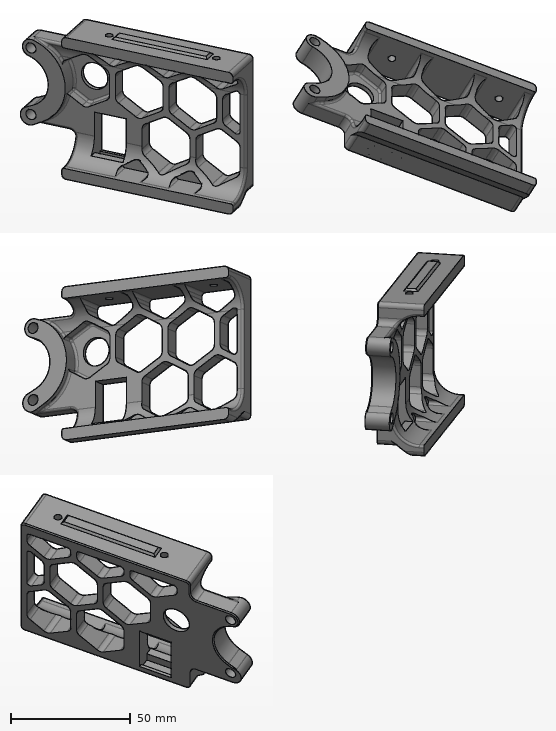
import cadquery as cq
import math


LENGTH = 103.6
DEPTH = 20.0
HEIGHT = 66.0
FRAME_LEFT = 23.9
WEB_THICKNESS = 7.0
FLANGE_THICKNESS = 5.0
COVE_RADIUS = 11.0
CORNER_RADIUS = 2.1
FRONT_EDGE_RADIUS = 1.0
BACK_CHAMFER = 0.5

REAR_STEP_HEIGHT = 4.0
SLOPE_START = 9.0
SLOPE_END = 14.5

CRESCENT_X = 0.9
CRESCENT_Z = 37.1
CRESCENT_INNER_RADIUS = 12.0
CRESCENT_OUTER_RADIUS = 20.0
CRESCENT_DEPTH = 10.5
CRESCENT_FILLET = 1.0
LUG_HOLE_X = 5.0
LUG_HOLE_DIAMETER = 4.7
LOWER_LUG_RADIUS = 4.1
ARM_BOTTOM = 16.6
ARM_CORNER_RADIUS = 3.0

CELL_PITCH = 25.0
CELL_WIDTH = 22.2
CELL_CORNER_RADIUS = 3.0
CELL_CLIP_RADIUS = 1.5
RIGHT_BORDER = 3.0
MAIN_ROW_X = 28.7
MAIN_ROW_Z = 41.0
POCKET_CLIP_RADIUS = 1.0
POCKET_BACK_WALL = 8.4

SEAT_FLOOR = 2.0
SEAT_FILLET = 1.0
SEAT_HOLE_X = 30.5
SEAT_HOLE_Z = 41.3
SEAT_HOLE_DIAMETER = 12.2

WINDOW_LEFT = 32.9
WINDOW_WIDTH = 14.8
WINDOW_TOP = 27.2
SILL_HEIGHT = 8.2
GROOVE_FRONT = 6.6
GROOVE_BOTTOM = 4.6
LIP_THICKNESS = 1.5
LIP_HEIGHT = 6.5

RAIL_X = 66.1
RAIL_LENGTH = 44.2
RAIL_WIDTH = 6.0
RAIL_HEIGHT = 0.9
SCREW_SPACING = 50.0
SCREW_DIAMETER = 3.2

TOLERANCE = 0.01

CEILING = HEIGHT - FLANGE_THICKNESS
COVE_DEPTH = WEB_THICKNESS + COVE_RADIUS
LUG_RADIUS = (CRESCENT_OUTER_RADIUS - CRESCENT_INNER_RADIUS) / 2
LUG_CIRCLE_RADIUS = (CRESCENT_OUTER_RADIUS + CRESCENT_INNER_RADIUS) / 2
LUG_RISE = math.sqrt(LUG_CIRCLE_RADIUS**2 - (LUG_HOLE_X - CRESCENT_X) ** 2)
UPPER_LUG_Z = CRESCENT_Z + LUG_RISE
LOWER_LUG_X = LOWER_LUG_RADIUS
LOWER_LUG_Z = ARM_BOTTOM + LOWER_LUG_RADIUS
ARM_TOP = UPPER_LUG_Z + LUG_RADIUS
ROW_SPACING = CELL_PITCH * math.sqrt(3) / 2
CELL_RIGHT_LIMIT = LENGTH - RIGHT_BORDER


def polar(x, z, radius, angle):
    """Point on a circle in the XZ plane, angle in radians from +X toward +Z."""
    return (x + radius * math.cos(angle), z + radius * math.sin(angle))


def block(x0, x1, y0, y1, z0, z1):
    """Box given by its limits, with y measured forward from the back plane."""
    return cq.Workplane("XY").box(x1 - x0, y1 - y0, z1 - z0, centered=False).translate((x0, -y1, z0))


def frame_section():
    """Cross-section of the frame, extruded along X with a flat underside."""
    cove_mid = COVE_RADIUS * math.sqrt(0.5)
    return (
        cq.Workplane("YZ")
        .moveTo(0, HEIGHT)
        .lineTo(-DEPTH, HEIGHT)
        .lineTo(-DEPTH, CEILING)
        .lineTo(-COVE_DEPTH, CEILING)
        .threePointArc(
            (-COVE_DEPTH + cove_mid, CEILING - COVE_RADIUS + cove_mid),
            (-WEB_THICKNESS, CEILING - COVE_RADIUS),
        )
        .lineTo(-WEB_THICKNESS, FLANGE_THICKNESS + COVE_RADIUS)
        .threePointArc(
            (-COVE_DEPTH + cove_mid, FLANGE_THICKNESS + COVE_RADIUS - cove_mid),
            (-COVE_DEPTH, FLANGE_THICKNESS),
        )
        .lineTo(-DEPTH, FLANGE_THICKNESS)
        .lineTo(-DEPTH, 0)
        .lineTo(0, 0)
        .close()
        .extrude(LENGTH)
    )


def frame_outline(bottom):
    """Prism along Y with the outline of frame and arm, its underside at the given height."""
    outline = (
        cq.Workplane("XZ")
        .moveTo(LOWER_LUG_X, ARM_BOTTOM)
        .lineTo(FRAME_LEFT, ARM_BOTTOM)
        .lineTo(FRAME_LEFT, bottom)
        .lineTo(LENGTH, bottom)
        .lineTo(LENGTH, HEIGHT)
        .lineTo(FRAME_LEFT, HEIGHT)
        .lineTo(FRAME_LEFT, ARM_TOP)
        .lineTo(LUG_HOLE_X, ARM_TOP)
        .lineTo(LUG_HOLE_X, UPPER_LUG_Z)
        .threePointArc((CRESCENT_X + LUG_CIRCLE_RADIUS, CRESCENT_Z), (LOWER_LUG_X, LOWER_LUG_Z))
        .close()
        .extrude(DEPTH)
    )

    def round_corner(prism, x, z, radius):
        corner = cq.selectors.NearestToPointSelector((x, -DEPTH / 2, z))
        return prism.edges("|Y").edges(corner).fillet(radius)

    for z in (ARM_BOTTOM, ARM_TOP):
        outline = round_corner(outline, FRAME_LEFT, z, ARM_CORNER_RADIUS)
    for x in (FRAME_LEFT, LENGTH):
        outline = round_corner(outline, x, HEIGHT, CORNER_RADIUS)
    outline = outline.faces(">Y").edges(">Z").chamfer(BACK_CHAMFER)
    for x in (FRAME_LEFT, LENGTH):
        outline = round_corner(outline, x, bottom, CORNER_RADIUS)
    return outline


def make_frame():
    """Frame and arm; the lower flange reaches below the rear part, with a slope between."""
    slope_top = REAR_STEP_HEIGHT + CORNER_RADIUS
    slope_run = (SLOPE_END - SLOPE_START) * slope_top / REAR_STEP_HEIGHT
    flange_side = (
        cq.Workplane("YZ")
        .moveTo(-DEPTH, 0)
        .lineTo(-SLOPE_END, 0)
        .lineTo(-SLOPE_END + slope_run, slope_top)
        .lineTo(-DEPTH, slope_top)
        .close()
        .extrude(LENGTH)
    )
    rear = frame_outline(REAR_STEP_HEIGHT).intersect(frame_section())
    flange = frame_outline(0).intersect(frame_section()).intersect(flange_side)
    return rear.union(flange).clean()


def round_front_edges(frame):
    """Round the end edges of the web, the coves and the arm."""

    def is_front_edge(edge):
        centre = edge.Center()
        in_front = centre.y < TOLERANCE - WEB_THICKNESS
        between_flanges = FLANGE_THICKNESS - TOLERANCE < centre.z < CEILING + TOLERANCE
        beside_arm = centre.z < ARM_BOTTOM + TOLERANCE or centre.z > ARM_TOP - TOLERANCE
        on_left = centre.x < FRAME_LEFT + TOLERANCE and beside_arm
        on_right = centre.x > LENGTH - TOLERANCE
        return in_front and between_flanges and (on_left or on_right)

    return frame.edges().filter(is_front_edge).fillet(FRONT_EDGE_RADIUS)


def make_crescent():
    """C-shaped end with a lug on each tip; straight tangents lead to the lower lug."""
    drop_x = LOWER_LUG_X - CRESCENT_X
    drop_z = LOWER_LUG_Z - CRESCENT_Z
    drop = math.hypot(drop_x, drop_z)
    lower = math.atan2(drop_z, drop_x)
    inner_tangent = lower + math.acos((CRESCENT_INNER_RADIUS + LOWER_LUG_RADIUS) / drop)
    outer_tangent = lower + math.acos((CRESCENT_OUTER_RADIUS - LOWER_LUG_RADIUS) / drop)
    upper = math.atan2(LUG_RISE, LUG_HOLE_X - CRESCENT_X)

    def on_crescent(radius, angle):
        return polar(CRESCENT_X, CRESCENT_Z, radius, angle)

    def on_lower_lug(angle):
        return polar(LOWER_LUG_X, LOWER_LUG_Z, LOWER_LUG_RADIUS, angle)

    body = (
        cq.Workplane("XZ")
        .moveTo(*on_lower_lug(outer_tangent))
        .lineTo(*on_crescent(CRESCENT_OUTER_RADIUS, outer_tangent))
        .threePointArc(
            on_crescent(CRESCENT_OUTER_RADIUS, 0),
            on_crescent(CRESCENT_OUTER_RADIUS, upper),
        )
        .threePointArc(
            polar(LUG_HOLE_X, UPPER_LUG_Z, LUG_RADIUS, upper + math.pi / 2),
            on_crescent(CRESCENT_INNER_RADIUS, upper),
        )
        .threePointArc(
            on_crescent(CRESCENT_INNER_RADIUS, 0),
            on_crescent(CRESCENT_INNER_RADIUS, inner_tangent),
        )
        .lineTo(*on_lower_lug(inner_tangent + math.pi))
        .close()
        .extrude(CRESCENT_DEPTH)
    )
    body = body.faces(">Y").edges("%CIRCLE").chamfer(BACK_CHAMFER)
    lower_lug = (
        cq.Workplane("XZ")
        .center(LOWER_LUG_X, LOWER_LUG_Z)
        .circle(LOWER_LUG_RADIUS)
        .extrude(CRESCENT_DEPTH)
    )
    return body.union(lower_lug)


def hexagon(x, z, rounded="|Y"):
    """Hexagonal prism with upright flats and rounded corners, as deep as the part."""
    return (
        cq.Workplane("XZ")
        .center(x, z)
        .polygon(6, CELL_WIDTH * 2 / math.sqrt(3))
        .extrude(DEPTH)
        .rotate((x, 0, z), (x, 1, z), 30)
        .edges(rounded)
        .fillet(CELL_CORNER_RADIUS)
    )


def clip_right(cell, radius):
    """End a cell at the right border and round the two corners this makes."""
    border = cq.selectors.BoxSelector(
        (CELL_RIGHT_LIMIT - TOLERANCE, -DEPTH, -HEIGHT), (LENGTH, DEPTH, 2 * HEIGHT)
    )
    clipped = cell.intersect(block(0, CELL_RIGHT_LIMIT, 0, DEPTH, -HEIGHT, 2 * HEIGHT))
    return clipped.edges("|Y").edges(border).fillet(radius)


def clip_at_flange(cell, keep_below, radius):
    """End a cell flush with the inner face of the upper or lower flange."""
    clipped = cell.intersect(block(0, LENGTH, 0, DEPTH, FLANGE_THICKNESS, CEILING))
    return clipped.edges("|Y").edges(">Z" if keep_below else "<Z").fillet(radius)


def honeycomb():
    """Cutters for the cells: three rows through the web and blind pockets in the lower cove."""
    main_x = [MAIN_ROW_X + column * CELL_PITCH for column in range(4)]
    offset_x = [x + CELL_PITCH / 2 for x in main_x[:3]]
    upper_z = MAIN_ROW_Z + ROW_SPACING
    lower_z = MAIN_ROW_Z - ROW_SPACING
    pocket_z = MAIN_ROW_Z - 2 * ROW_SPACING

    cells = [hexagon(x, MAIN_ROW_Z) for x in main_x[1:3]]
    cells.append(clip_right(hexagon(main_x[3], MAIN_ROW_Z), CELL_CLIP_RADIUS))

    cells.append(hexagon(offset_x[1], lower_z))
    cells.append(clip_right(hexagon(offset_x[2], lower_z), CELL_CORNER_RADIUS))

    upper_row = [hexagon(x, upper_z) for x in offset_x]
    upper_row[2] = clip_right(upper_row[2], CELL_CORNER_RADIUS)
    for cell in upper_row:
        cells.append(clip_at_flange(cell, True, CELL_CLIP_RADIUS))

    in_front = block(0, LENGTH, POCKET_BACK_WALL, DEPTH, 0, HEIGHT)
    for x in main_x[1:3]:
        peak = hexagon(x, pocket_z, rounded="|Y and >Z")
        pocket = clip_at_flange(peak, False, POCKET_CLIP_RADIUS)
        cells.append(pocket.intersect(in_front))
    return cells


def seat_cutter():
    """Hexagonal seat, open to the front, with a filleted floor."""
    seat = hexagon(MAIN_ROW_X, MAIN_ROW_Z)
    seat = seat.intersect(block(0, LENGTH, SEAT_FLOOR, DEPTH, 0, HEIGHT))
    return seat.faces(">Y").edges().fillet(SEAT_FILLET)


def hole_along_y(x, z, diameter):
    """Cutter for a round hole through the whole depth."""
    return cq.Workplane("XZ").center(x, z).circle(diameter / 2).extrude(DEPTH)


def window_cutter():
    """Rectangular window whose sill carries a groove behind a low rear lip."""
    right = WINDOW_LEFT + WINDOW_WIDTH
    window = block(WINDOW_LEFT, right, 0, DEPTH, SILL_HEIGHT, WINDOW_TOP)
    window = window.union(block(WINDOW_LEFT, right, 0, GROOVE_FRONT, LIP_HEIGHT, WINDOW_TOP))
    groove = block(WINDOW_LEFT, right, LIP_THICKNESS, GROOVE_FRONT, GROOVE_BOTTOM, WINDOW_TOP)
    return window.union(groove)


def make_rail():
    """Low rail with 45 degree sides on the top face."""
    rail = cq.Workplane("XY").rect(RAIL_LENGTH, RAIL_WIDTH).extrude(RAIL_HEIGHT, taper=45)
    return rail.translate((RAIL_X, -DEPTH / 2, HEIGHT))


def round_crescent_root(part):
    """Fillet the crescent's outer side where it meets the web, the upper cove and the seat."""

    def is_root_edge(edge):
        points = [edge.positionAt(t) for t in (0, 0.5, 1)]
        distances = [math.hypot(p.x - CRESCENT_X, p.z - CRESCENT_Z) for p in points]
        on_outer_side = all(abs(d - CRESCENT_OUTER_RADIUS) < TOLERANCE for d in distances)
        between_faces = -CRESCENT_DEPTH + TOLERANCE < points[1].y < -BACK_CHAMFER - TOLERANCE
        return on_outer_side and between_faces

    return part.edges().filter(is_root_edge).fillet(CRESCENT_FILLET)


def screw_holes():
    """Two holes through the upper flange, one beyond each end of the rail."""
    return (
        cq.Workplane("XY", origin=(RAIL_X, -DEPTH / 2, HEIGHT))
        .pushPoints([(-SCREW_SPACING / 2, 0), (SCREW_SPACING / 2, 0)])
        .circle(SCREW_DIAMETER / 2)
        .extrude(-FLANGE_THICKNESS - COVE_RADIUS)
    )


crescent = make_crescent()
result = round_front_edges(make_frame()).union(crescent)
result = result.cut(seat_cutter().cut(crescent))
result = round_crescent_root(result)

for cell in honeycomb():
    result = result.cut(cell)
result = result.cut(window_cutter())
result = result.cut(hole_along_y(SEAT_HOLE_X, SEAT_HOLE_Z, SEAT_HOLE_DIAMETER))
for lug_hole_z in (CRESCENT_Z - LUG_RISE, UPPER_LUG_Z):
    result = result.cut(hole_along_y(LUG_HOLE_X, lug_hole_z, LUG_HOLE_DIAMETER))

result = result.union(make_rail()).cut(screw_holes())